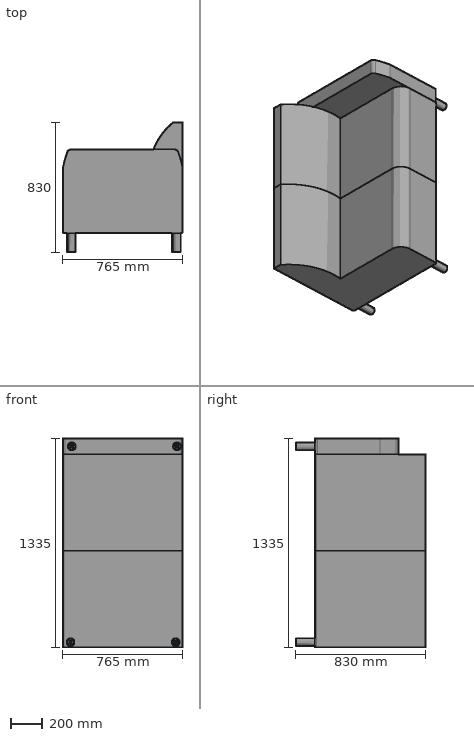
import cadquery as cq
import math

width = 765.0
total_height = 1335.0
total_depth = 830.0
body_depth = 706.0

slab_thickness = 103.0
slab_depth = 534.0
slab_straight_depth = 414.0
slab_back_inset = 35.0
slab_side_radius = 601.0
slab_back_fillet = 27.0
slab_front_fillet = 13.0

section_count = 2
section_height = (total_height - slab_thickness) / section_count
shoulder_depth = 319.0
shoulder_radius = 83.0
section_front_fillet = 7.0
wing_radius = 414.0
wing_center_x = 964.0
wing_center_y = 385.0

pin_diameter = 51.0
pin_length = total_depth - body_depth
pin_chamfer = 4.0
pin_bore_diameter = 19.0
pin_bore_depth = 13.0
pin_pilot_diameter = 7.9
pin_pilot_depth = 27.0
pin_spacing = 672.0
upper_pin_x = 57.0
lower_pin_x = 50.0
upper_pin_z = total_height - slab_thickness / 2
lower_pin_z = 33.0


def wing_x(y):
    """X of the wing's curved left side at depth y."""
    return wing_center_x - math.sqrt(wing_radius**2 - (y - wing_center_y)**2)


def make_slab():
    """Top slab with sides that bow inward towards the back."""
    slab = (
        cq.Workplane("XY", origin=(0, 0, total_height - slab_thickness))
        .lineTo(width, 0)
        .lineTo(width, slab_straight_depth)
        .radiusArc((width - slab_back_inset, slab_depth), -slab_side_radius)
        .lineTo(slab_back_inset, slab_depth)
        .radiusArc((0, slab_straight_depth), -slab_side_radius)
        .close()
        .extrude(slab_thickness)
    )
    slab = slab.faces(">Y").edges("|Z").fillet(slab_back_fillet)
    return slab.faces("<Y").edges("|Z").fillet(slab_front_fillet)


def make_section(bottom_z):
    """Cabinet section with a rounded left shoulder and a curved wing at the back right."""
    section = (
        cq.Workplane("XY", origin=(0, 0, bottom_z))
        .lineTo(width, 0)
        .lineTo(width, body_depth)
        .lineTo(wing_x(body_depth), body_depth)
        .threePointArc((wing_center_x - wing_radius, wing_center_y), (wing_x(shoulder_depth), shoulder_depth))
        .lineTo(shoulder_radius, shoulder_depth)
        .radiusArc((0, shoulder_depth - shoulder_radius), -shoulder_radius)
        .close()
        .extrude(section_height)
    )
    return section.faces("<Y").edges("|Z").fillet(section_front_fillet)


def make_pin(x, z):
    """Pin pointing to -Y from the front face, with a stepped bore in its chamfered end."""
    pin = (
        cq.Workplane("XZ", origin=(x, 0, z))
        .circle(pin_diameter / 2)
        .extrude(pin_length)
        .faces("<Y")
        .chamfer(pin_chamfer)
    )
    return pin.faces("<Y").workplane().cboreHole(
        pin_pilot_diameter, pin_bore_diameter, pin_bore_depth, pin_pilot_depth
    )


slab = make_slab()
sections = [make_section(i * section_height) for i in range(section_count)]
pins = []
for left_x, z in [(upper_pin_x, upper_pin_z), (lower_pin_x, lower_pin_z)]:
    for x in (left_x, left_x + pin_spacing):
        pins.append(make_pin(x, z))

result = cq.Compound.makeCompound([body.val() for body in [slab, *sections, *pins]])